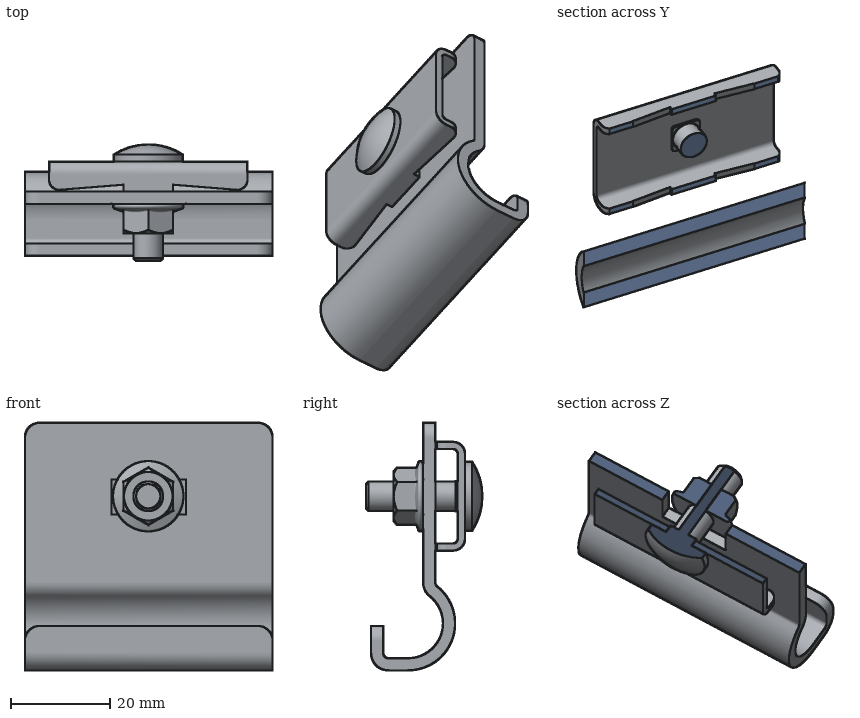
import cadquery as cq
import math


PLATE_WIDTH = 50.0
PLATE_HEIGHT = 50.0
PLATE_THICKNESS = 2.5
CORNER_RADIUS = 3.0
HOOK_INNER_RADIUS = 7.0
HOOK_CENTRE_Y = -3.0
BEND_INNER_RADIUS = 1.0
LIP_FRONT_Y = -10.5
LIP_HEIGHT = 9.0
SLOT_LENGTH = 15.0
SLOT_HEIGHT = 7.0
SLOT_TO_TOP = 15.0
SLOT_OFFSET_X = 0.1
SLOT_OFFSET_Z = -0.15

PLATE_TOP_Z = SLOT_OFFSET_Z + SLOT_TO_TOP
PLATE_BOTTOM_Z = PLATE_TOP_Z - PLATE_HEIGHT
HOOK_OUTER_RADIUS = HOOK_INNER_RADIUS + PLATE_THICKNESS
HOOK_CENTRE_Z = PLATE_BOTTOM_Z + HOOK_OUTER_RADIUS
BEND_OUTER_RADIUS = BEND_INNER_RADIUS + PLATE_THICKNESS

CLIP_WIDTH = 40.0
CLIP_HEIGHT = 22.0
CLIP_THICKNESS = 1.5
CLIP_DEPTH = 6.0
CLIP_INNER_BEND = 1.0
CLIP_CORNER_RADIUS = 2.0
CLIP_TAB_WIDTH = 10.0
CLIP_TIP_GAP = 0.15
CLIP_RELIEF = 1.35

CLIP_LEG_END_Y = PLATE_THICKNESS
CLIP_BACK_Y = CLIP_LEG_END_Y + CLIP_DEPTH
CLIP_OUTER_BEND = CLIP_INNER_BEND + CLIP_THICKNESS

BOLT_DIAMETER = 6.0
BOLT_TIP_Y = -11.5
BOLT_TIP_CHAMFER = 0.55
NECK_WIDTH = 6.2
NECK_CORNER_RADIUS = 0.7
NECK_LENGTH = 1.9
HEAD_DIAMETER = 14.0
HEAD_RIM = 1.4
HEAD_HEIGHT = 3.5

NUT_HEIGHT = 6.0
NUT_ACROSS_FLATS = 10.0
NUT_CHAMFER_DIAMETER = 9.8
NUT_CHAMFER_HEIGHT = 0.75
FLANGE_DIAMETER = 14.2
FLANGE_RIM_RADIUS = 0.5
FLANGE_SLOPE = 20.0
FLANGE_FILLET = 0.25

NUT_CORNER_DIAMETER = NUT_ACROSS_FLATS / math.cos(math.radians(30))


def point_on_circle(centre, radius, degrees):
    """Point (y, z) on a circle, the angle counted from +Y towards +Z."""
    angle = math.radians(degrees)
    return (centre[0] + radius * math.cos(angle), centre[1] + radius * math.sin(angle))


def extrude_across(outline, width):
    """Extrude a YZ outline symmetrically about X = 0."""
    return outline.extrude(width / 2, both=True)


def turn_about_bolt_axis(outline):
    """Revolve an XY outline about the Y axis."""
    return outline.close().revolve(360, (0, 0, 0), (0, 1, 0))


def make_plate():
    """Flat plate bent into a hook with an upturned lip at the bottom."""
    hook = (HOOK_CENTRE_Y, HOOK_CENTRE_Z)
    neck_y = PLATE_THICKNESS + BEND_INNER_RADIUS
    centre_distance = HOOK_OUTER_RADIUS + BEND_INNER_RADIUS
    neck_z = HOOK_CENTRE_Z + math.sqrt(centre_distance**2 - (neck_y - HOOK_CENTRE_Y) ** 2)
    neck = (neck_y, neck_z)
    tangent = math.degrees(math.atan2(neck_z - HOOK_CENTRE_Z, neck_y - HOOK_CENTRE_Y))
    hook_middle = (tangent - 90) / 2
    neck_start = 180
    neck_end = 180 + tangent
    neck_middle = (neck_start + neck_end) / 2
    lip_bend = (LIP_FRONT_Y + BEND_OUTER_RADIUS, PLATE_BOTTOM_Z + BEND_OUTER_RADIUS)

    outline = (
        cq.Workplane("YZ")
        .moveTo(PLATE_THICKNESS, PLATE_TOP_Z)
        .lineTo(PLATE_THICKNESS, neck_z)
        .threePointArc(
            point_on_circle(neck, BEND_INNER_RADIUS, neck_middle),
            point_on_circle(neck, BEND_INNER_RADIUS, neck_end),
        )
        .threePointArc(
            point_on_circle(hook, HOOK_OUTER_RADIUS, hook_middle),
            point_on_circle(hook, HOOK_OUTER_RADIUS, -90),
        )
        .lineTo(lip_bend[0], PLATE_BOTTOM_Z)
        .threePointArc(
            point_on_circle(lip_bend, BEND_OUTER_RADIUS, 225),
            point_on_circle(lip_bend, BEND_OUTER_RADIUS, 180),
        )
        .lineTo(LIP_FRONT_Y, PLATE_BOTTOM_Z + LIP_HEIGHT)
        .lineTo(LIP_FRONT_Y + PLATE_THICKNESS, PLATE_BOTTOM_Z + LIP_HEIGHT)
        .lineTo(LIP_FRONT_Y + PLATE_THICKNESS, lip_bend[1])
        .threePointArc(
            point_on_circle(lip_bend, BEND_INNER_RADIUS, 225),
            point_on_circle(lip_bend, BEND_INNER_RADIUS, 270),
        )
        .lineTo(HOOK_CENTRE_Y, PLATE_BOTTOM_Z + PLATE_THICKNESS)
        .threePointArc(
            point_on_circle(hook, HOOK_INNER_RADIUS, hook_middle),
            point_on_circle(hook, HOOK_INNER_RADIUS, tangent),
        )
        .threePointArc(
            point_on_circle(neck, BEND_OUTER_RADIUS, neck_middle),
            (0, neck_z),
        )
        .lineTo(0, PLATE_TOP_Z)
        .close()
    )
    plate = extrude_across(outline, PLATE_WIDTH)
    plate = plate.faces(">Z").edges("|Y").fillet(CORNER_RADIUS)
    lip_corners = cq.selectors.BoxSelector(
        (-PLATE_WIDTH, LIP_FRONT_Y, PLATE_BOTTOM_Z + LIP_HEIGHT - CORNER_RADIUS),
        (PLATE_WIDTH, LIP_FRONT_Y + PLATE_THICKNESS, PLATE_BOTTOM_Z + LIP_HEIGHT + CORNER_RADIUS),
    )
    plate = plate.edges("|Y").edges(lip_corners).fillet(CORNER_RADIUS)
    slot = (
        cq.Workplane("XY")
        .box(SLOT_LENGTH, 4 * PLATE_THICKNESS, SLOT_HEIGHT)
        .translate((0, 0, SLOT_OFFSET_Z))
    )
    return plate.cut(slot).translate((SLOT_OFFSET_X, 0, 0))


def make_neck_block():
    """Round-cornered square block of the bolt neck, which also shapes its hole in the clip."""
    return (
        cq.Workplane("XY")
        .box(NECK_WIDTH, NECK_LENGTH, NECK_WIDTH)
        .edges("|Y")
        .fillet(NECK_CORNER_RADIUS)
        .translate((0, CLIP_BACK_Y - NECK_LENGTH / 2, 0))
    )


def make_clip():
    """Channel with its web behind the plate and two shaped legs resting on the plate."""
    half_width = CLIP_WIDTH / 2
    half_tab = CLIP_TAB_WIDTH / 2
    tip_y = CLIP_LEG_END_Y + CLIP_TIP_GAP
    relief_y = CLIP_LEG_END_Y + CLIP_RELIEF
    block = (
        cq.Workplane("XY", origin=(0, 0, -CLIP_HEIGHT / 2))
        .polyline(
            [
                (-half_width, CLIP_BACK_Y),
                (-half_width, tip_y),
                (-half_tab, relief_y),
                (-half_tab, CLIP_LEG_END_Y),
                (half_tab, CLIP_LEG_END_Y),
                (half_tab, relief_y),
                (half_width, tip_y),
                (half_width, CLIP_BACK_Y),
            ]
        )
        .close()
        .extrude(CLIP_HEIGHT)
    )
    for side in ("<X", ">X"):
        block = block.faces(side).edges("|Z and <Y").fillet(CLIP_CORNER_RADIUS)
    block = block.faces(">Y").edges("|X").fillet(CLIP_OUTER_BEND)

    hollow = (
        cq.Workplane("XY")
        .box(2 * CLIP_WIDTH, 2 * CLIP_BACK_Y, CLIP_HEIGHT - 2 * CLIP_THICKNESS)
        .edges("|X and >Y")
        .fillet(CLIP_INNER_BEND)
        .translate((0, -CLIP_THICKNESS, 0))
    )
    return block.cut(hollow).cut(make_neck_block())


def make_bolt():
    """Domed-head bolt with a square neck, a plain shank and a chamfered tip."""
    shank_radius = BOLT_DIAMETER / 2
    head_radius = HEAD_DIAMETER / 2
    rim_y = CLIP_BACK_Y + HEAD_RIM
    crown_y = CLIP_BACK_Y + HEAD_HEIGHT
    dome_height = crown_y - rim_y
    dome_radius = (head_radius**2 + dome_height**2) / (2 * dome_height)
    half_angle = math.asin(head_radius / dome_radius) / 2
    dome_middle = (
        dome_radius * math.sin(half_angle),
        crown_y - dome_radius * (1 - math.cos(half_angle)),
    )
    turned = turn_about_bolt_axis(
        cq.Workplane("XY")
        .moveTo(0, BOLT_TIP_Y)
        .lineTo(shank_radius - BOLT_TIP_CHAMFER, BOLT_TIP_Y)
        .lineTo(shank_radius, BOLT_TIP_Y + BOLT_TIP_CHAMFER)
        .lineTo(shank_radius, CLIP_BACK_Y)
        .lineTo(head_radius, CLIP_BACK_Y)
        .lineTo(head_radius, rim_y)
        .threePointArc(dome_middle, (0, crown_y))
    )
    return turned.union(make_neck_block())


def make_nut():
    """Hexagonal nut with a conical, round-rimmed flange against the plate."""
    hexagon = (
        cq.Workplane("XZ")
        .polygon(6, NUT_CORNER_DIAMETER)
        .extrude(NUT_HEIGHT)
        .rotate((0, 0, 0), (0, 1, 0), 30)
    )
    chamfer_radius = NUT_CHAMFER_DIAMETER / 2
    corner_radius = NUT_CORNER_DIAMETER / 2
    chamfer_envelope = turn_about_bolt_axis(
        cq.Workplane("XY")
        .lineTo(corner_radius, 0)
        .lineTo(corner_radius, NUT_CHAMFER_HEIGHT - NUT_HEIGHT)
        .lineTo(chamfer_radius, -NUT_HEIGHT)
        .lineTo(0, -NUT_HEIGHT)
    )

    rim = (FLANGE_DIAMETER / 2 - FLANGE_RIM_RADIUS, -FLANGE_RIM_RADIUS)
    rim_end = point_on_circle(rim, FLANGE_RIM_RADIUS, FLANGE_SLOPE - 90)
    top_radius = BOLT_DIAMETER / 2
    top_y = rim_end[1] - (rim_end[0] - top_radius) * math.tan(math.radians(FLANGE_SLOPE))
    flange = turn_about_bolt_axis(
        cq.Workplane("XY")
        .lineTo(rim[0], 0)
        .threePointArc((rim[0] + FLANGE_RIM_RADIUS, rim[1]), rim_end)
        .lineTo(top_radius, top_y)
        .lineTo(0, top_y)
    )
    bolt_hole = cq.Workplane("XZ").circle(BOLT_DIAMETER / 2).extrude(NUT_HEIGHT)
    nut = hexagon.intersect(chamfer_envelope).union(flange)
    root_edges = cq.selectors.BoxSelector(
        (-corner_radius, -NUT_HEIGHT / 2, -corner_radius),
        (corner_radius, rim_end[1], corner_radius),
    )
    nut = nut.edges(root_edges).fillet(FLANGE_FILLET)
    return nut.cut(bolt_hole)


plate = make_plate()
clip = make_clip()
bolt = make_bolt()
nut = make_nut()

result = cq.Compound.makeCompound([plate.val(), clip.val(), bolt.val(), nut.val()])